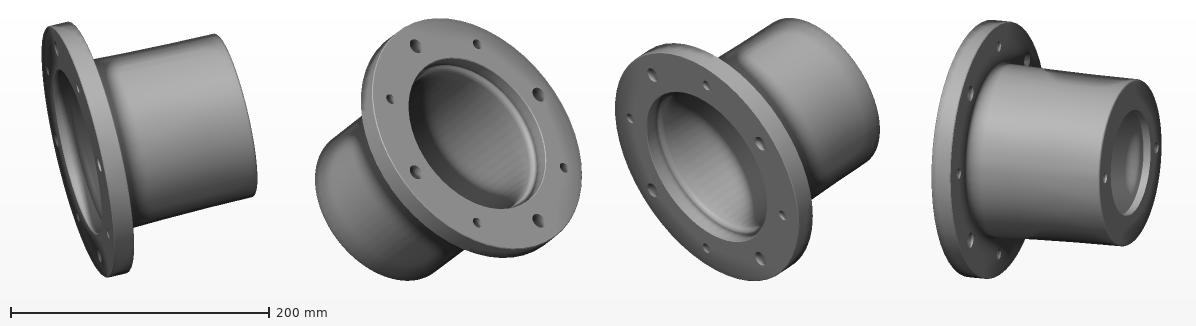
import cadquery as cq
import math

flange_diameter = 200
total_length = 126
flange_thickness = 16
rim_chamfer = 0.5

barrel_end_radius = 65.0
barrel_flare = 2.5
wall_thickness = 6.5
end_round = 1.5
root_fillet = 1.5

spigot_diameter = 130
spigot_depth = 11.5
lip_length = 5.5
end_bore_diameter = 82.5

flange_hole_circle_radius = 82.5
large_hole_diameter = 12
small_hole_diameter = 8.5
end_hole_offset = 53.0

barrel_length = total_length - flange_thickness
flare_arc_radius = (barrel_length**2 + barrel_flare**2) / (2 * barrel_flare)
flare_center_x = barrel_end_radius + flare_arc_radius


def flared_radius(y, inset=0):
    """Barrel radius at height y, moved inward by inset from the outside."""
    arc_radius = flare_arc_radius + inset
    return flare_center_x - math.sqrt(arc_radius**2 - (total_length - y) ** 2)


def flared_point(y, inset=0):
    return (flared_radius(y, inset), y)


def revolve_about_y(profile):
    return profile.close().revolve(360, (0, 0), (0, 1))


def make_outside():
    """Flange and flared barrel as one solid of revolution."""
    middle_y = (flange_thickness + total_length) / 2
    selection_margin = 0.2
    flange_radius = flange_diameter / 2
    profile = (
        cq.Workplane("XY")
        .lineTo(flange_radius - rim_chamfer, 0)
        .lineTo(flange_radius, rim_chamfer)
        .lineTo(flange_radius, flange_thickness - rim_chamfer)
        .lineTo(flange_radius - rim_chamfer, flange_thickness)
        .lineTo(*flared_point(flange_thickness))
        .threePointArc(flared_point(middle_y), flared_point(total_length))
        .lineTo(0, total_length)
    )
    body = revolve_about_y(profile)

    def circle_edge(radius, y):
        """Select the edges at height y that lie within radius of the axis."""
        reach = radius + selection_margin
        return cq.selectors.BoxSelector(
            (-reach, y - selection_margin, -reach),
            (reach, y + selection_margin, reach),
            boundingbox=True,
        )

    body = body.edges(circle_edge(barrel_end_radius, total_length)).fillet(end_round)
    root_radius = flared_radius(flange_thickness)
    return body.edges(circle_edge(root_radius, flange_thickness)).fillet(root_fillet)


def make_cavity():
    """Spigot recess, rounded lip and flared interior up to the end wall."""
    lip_y = spigot_depth + lip_length
    floor_y = total_length - wall_thickness
    middle_y = (lip_y + floor_y) / 2
    spigot_radius = spigot_diameter / 2
    lip_point = flared_point(lip_y, wall_thickness)
    lip_radial_step = spigot_radius - lip_point[0]
    lip_radius = (lip_length**2 + lip_radial_step**2) / (2 * lip_radial_step)
    half_angle = math.asin(lip_length / lip_radius) / 2
    lip_middle = (
        lip_point[0] + lip_radius * (1 - math.cos(half_angle)),
        lip_y - lip_radius * math.sin(half_angle),
    )
    profile = (
        cq.Workplane("XY")
        .lineTo(spigot_radius + rim_chamfer, 0)
        .lineTo(spigot_radius, rim_chamfer)
        .lineTo(spigot_radius, spigot_depth)
        .threePointArc(lip_middle, lip_point)
        .threePointArc(flared_point(middle_y, wall_thickness), flared_point(floor_y, wall_thickness))
        .lineTo(0, floor_y)
    )
    return revolve_about_y(profile)


def make_end_bore():
    """Bore through the end wall, with a small chamfer on its inner rim."""
    floor_y = total_length - wall_thickness
    bore_radius = end_bore_diameter / 2
    profile = (
        cq.Workplane("XY")
        .moveTo(0, floor_y)
        .lineTo(bore_radius + rim_chamfer, floor_y)
        .lineTo(bore_radius, floor_y + rim_chamfer)
        .lineTo(bore_radius, total_length)
        .lineTo(0, total_length)
    )
    return revolve_about_y(profile)


def make_holes(diameter, points, length):
    """Cylinders along +Y that start at the flange face."""
    return cq.Workplane("XZ").pushPoints(points).circle(diameter / 2).extrude(-length)


def ring_points(start_angle):
    """Four evenly spaced points on the flange hole circle."""
    points = []
    for index in range(4):
        angle = math.radians(start_angle + 90 * index)
        x = flange_hole_circle_radius * math.cos(angle)
        z = flange_hole_circle_radius * math.sin(angle)
        points.append((x, z))
    return points


end_hole_points = [(-end_hole_offset, 0), (end_hole_offset, 0)]

result = (
    make_outside()
    .cut(make_cavity())
    .cut(make_end_bore())
    .cut(make_holes(small_hole_diameter, ring_points(0), flange_thickness))
    .cut(make_holes(large_hole_diameter, ring_points(45), flange_thickness))
    .cut(make_holes(small_hole_diameter, end_hole_points, total_length))
)